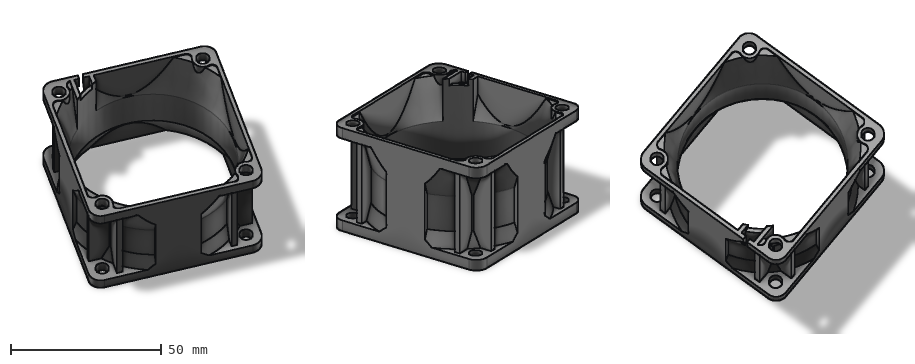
import cadquery as cq
import math

side = 60.0
height = 38.0
half_side = side / 2
corner_radius = 4.2
flange = 3.95
wall = 1.5
flat_width = 15.85

bore_radius = 28.3
outer_throat_bottom = 9.55
inner_throat_bottom = 8.6
throat_top = 22.6
bottom_flare_slope = 0.36
top_flare_slope = 0.29
pocket_half = half_side - wall
ledge_depth = 0.5
ledge_z = height - ledge_depth

hole_pitch = 49.9
hole_diameter = 4.5
boss_radius = 3.6
boss_blend_radius = 1.8
web_inner = 18.9
web_thickness = 2.0
web_reach = 28.4

rib_thickness = 1.55
channel_y_min = -18.55
channel_y_max = -13.4
guard_top = height - 2.45
slit_y_min = -16.85
slit_y_max = -15.25


def box(x_min, x_max, y_min, y_max, z_min, z_max):
    """Axis-aligned block between the given limits."""
    size = (x_max - x_min, y_max - y_min, z_max - z_min)
    return cq.Workplane("XY").box(*size, centered=False).translate((x_min, y_min, z_min))


def cylinder(radius, z_min, z_max):
    """Upright cylinder around the duct axis."""
    return cq.Workplane("XY").workplane(offset=z_min).circle(radius).extrude(z_max - z_min)


def flared_duct(radius, throat_bottom, top):
    """Solid of revolution: throat of the given radius, flared down to z = 0 and up to top."""
    bottom_radius = radius + bottom_flare_slope * throat_bottom
    top_radius = radius + top_flare_slope * (top - throat_top)
    return (
        cq.Workplane("XZ")
        .moveTo(0, 0)
        .lineTo(bottom_radius, 0)
        .lineTo(radius, throat_bottom)
        .lineTo(radius, throat_top)
        .lineTo(top_radius, top)
        .lineTo(0, top)
        .close()
        .revolve(360, (0, 0, 0), (0, 1, 0))
    )


def plate(z_min, thickness):
    """Square plate with rounded corners."""
    blank = cq.Workplane("XY").workplane(offset=z_min).rect(side, side).extrude(thickness)
    return blank.edges("|Z").fillet(corner_radius)


def pocket_prism():
    """Square prism whose corners step inwards around the screw bosses."""
    boss_center = hole_pitch / 2
    blend_x = pocket_half - boss_blend_radius
    blend_y = boss_center - math.sqrt(
        (boss_radius + boss_blend_radius) ** 2 - (blend_x - boss_center) ** 2
    )
    blend_angle = math.atan2(boss_center - blend_y, boss_center - blend_x)

    def on_blend(angle):
        return (
            blend_x + boss_blend_radius * math.cos(angle),
            blend_y + boss_blend_radius * math.sin(angle),
        )

    wall_point, blend_middle, boss_point = [on_blend(blend_angle * part) for part in (0, 0.5, 1)]
    boss_inner = boss_center - boss_radius / math.sqrt(2)
    half_corner = [wall_point, blend_middle, boss_point]
    corner = half_corner + [(boss_inner, boss_inner)] + [(y, x) for x, y in reversed(half_corner)]

    outline = cq.Workplane("XY").moveTo(pocket_half, 0)
    for _ in range(4):
        outline = outline.lineTo(*corner[0])
        for middle, end in zip(corner[1::2], corner[2::2]):
            outline = outline.threePointArc(middle, end)
        corner = [(-y, x) for x, y in corner]
    return outline.close().extrude(height)


def outer_body():
    """Flanges, flat strips, outer duct and corner webs, all still solid."""
    body = plate(0, flange).union(plate(height - flange, flange))
    duct = flared_duct(bore_radius + wall, outer_throat_bottom, height)
    body = body.union(duct.intersect(plate(0, height)))
    half_flat = flat_width / 2
    body = body.union(box(-half_side, half_side, -half_flat, half_flat, 0, height))
    body = body.union(box(-half_flat, half_flat, -half_side, half_side, 0, height))
    web_outer = web_inner + web_thickness
    for start in (-web_outer, web_inner):
        end = start + web_thickness
        body = body.union(box(-web_reach, web_reach, start, end, 0, height))
        body = body.union(box(start, end, -web_reach, web_reach, 0, height))
    return body


def channel_ribs():
    """Ribs on both sides of the cable channel and the guard wall between them."""
    ribs = box(-half_side, 0, channel_y_max, channel_y_max + rib_thickness, throat_top, height)
    ribs = ribs.union(
        box(-half_side, 0, channel_y_min - rib_thickness, channel_y_min, throat_top, height)
    )
    guard = box(-half_side, 0, channel_y_min, channel_y_max, throat_top, guard_top)
    guard = guard.intersect(cylinder(bore_radius + wall, 0, height))
    return ribs.union(guard).cut(cylinder(bore_radius, 0, height))


def cavity():
    """Air passage: flared bore limited by the flat walls, with a shallow ledge on top."""
    above_ledge = box(-half_side, half_side, -half_side, half_side, ledge_z, height)
    passage = flared_duct(bore_radius, inner_throat_bottom, ledge_z).union(above_ledge)
    return passage.intersect(pocket_prism()).cut(channel_ribs())


def cable_channel():
    """Open channel outside the guard wall, with a slit through the side wall."""
    channel = box(-pocket_half, 0, channel_y_min, channel_y_max, throat_top, height)
    channel = channel.cut(cylinder(bore_radius + wall, 0, height))
    slit = box(-half_side, -pocket_half, slit_y_min, slit_y_max, throat_top, height)
    return channel.union(slit)


def screw_holes():
    """Through holes in the four corners."""
    return (
        cq.Workplane("XY")
        .rect(hole_pitch, hole_pitch, forConstruction=True)
        .vertices()
        .circle(hole_diameter / 2)
        .extrude(height)
    )


result = outer_body().cut(cavity()).cut(cable_channel()).cut(screw_holes())